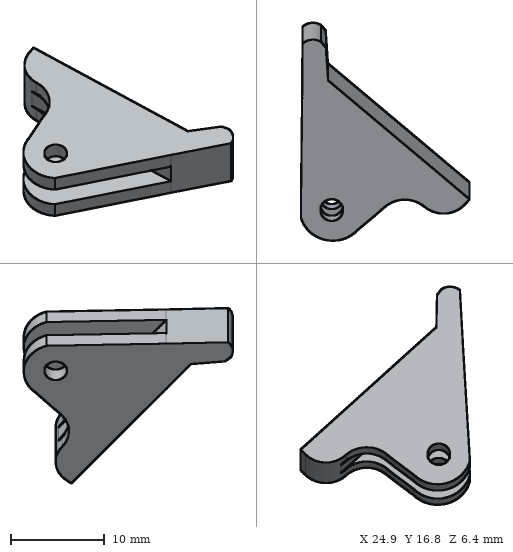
import cadquery as cq
import math

thickness = 6.4
slot_width = 2.46
slot_floor_y = 6.9
hole_diameter = 2.41

pivot_radius = 3.55
pivot_center_y = 0.17
pivot_exit_angle = math.radians(-57.5)

left_x = -10.3
back_y = 10.63
nose_radius = 3.05
nose_center_y = 9.88
neck_radius = 3.2
neck_end_y = 3.9
flank_y = 2.75
flank_x = -3.9

finger_root_x = 9.83
finger_length_x = 2.6
finger_crest = (13.22, 13.37)
finger_shoulder = (14.1, 12.95)
finger_tip = (14.59, 11.9)

slope_bend = (10.23, 6.87)


def on_circle(center, radius, angle):
    return (center[0] + radius * math.cos(angle), center[1] + radius * math.sin(angle))


def make_profile():
    nose_center = (left_x + nose_radius, nose_center_y)
    nose_end = (nose_center[0], nose_center_y - nose_radius)
    nose_middle = on_circle(nose_center, nose_radius, math.radians(225))

    neck_center = (nose_end[0], nose_end[1] - neck_radius)
    neck_middle = on_circle(neck_center, neck_radius, math.radians(45))
    neck_end = (neck_center[0] + neck_radius, neck_end_y)

    pivot_center = (0, pivot_center_y)
    pivot_start = (-pivot_radius, pivot_center_y)
    pivot_middle = on_circle(pivot_center, pivot_radius, math.radians(-120))
    pivot_end = on_circle(pivot_center, pivot_radius, pivot_exit_angle)

    finger_top = (finger_root_x + finger_length_x, back_y + finger_length_x)

    return (
        cq.Workplane("XY")
        .moveTo(left_x, back_y)
        .lineTo(left_x, nose_center_y)
        .threePointArc(nose_middle, nose_end)
        .threePointArc(neck_middle, neck_end)
        .lineTo(flank_x, flank_y)
        .lineTo(*pivot_start)
        .threePointArc(pivot_middle, pivot_end)
        .lineTo(*slope_bend)
        .lineTo(*finger_tip)
        .threePointArc(finger_shoulder, finger_crest)
        .lineTo(*finger_top)
        .lineTo(finger_root_x, back_y)
        .close()
    )


def make_slot():
    slot_span = 49.78
    return (
        cq.Workplane("XY")
        .box(slot_span, slot_span, slot_width)
        .translate((0, slot_floor_y - slot_span / 2, thickness / 2))
    )


body = make_profile().extrude(thickness)
pivot_hole = cq.Workplane("XY").circle(hole_diameter / 2).extrude(thickness)
result = body.cut(make_slot()).cut(pivot_hole)